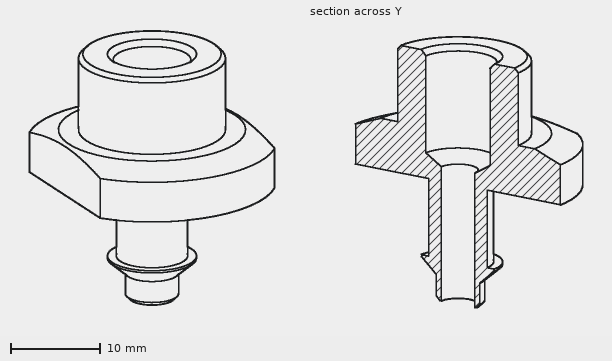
import cadquery as cq
import math

tip_top = 3.0
collar_top = 5.0
collar_rim = 0.25
flange_bottom = 14.0
flange_top = 20.0
total_height = 29.0

tip_diameter = 6.0
collar_diameter = 10.0
stem_diameter = 8.0
flange_diameter = 28.0
flange_face_diameter = 21.0
boss_diameter = 16.5

flange_width = 22.0
bevel_angle = 20.0
edge_chamfer = 0.5

socket_diameter = 8.7
socket_mouth_diameter = 10.0
socket_depth = 12.0
through_diameter = 4.5
drill_point_angle = 118.0


def revolve_profile(points):
    """Revolve a closed (radius, height) outline around the Z axis."""
    return cq.Workplane("XZ").polyline(points).close().revolve(360, (0, 0), (0, 1))


def make_body():
    """Spigot, collar, bevelled flange and boss as one turned body."""
    tip_radius = tip_diameter / 2
    collar_radius = collar_diameter / 2
    stem_radius = stem_diameter / 2
    flange_radius = flange_diameter / 2
    face_radius = flange_face_diameter / 2
    boss_radius = boss_diameter / 2
    bevel_height = (flange_radius - face_radius) * math.tan(math.radians(bevel_angle))
    return revolve_profile([
        (0, 0),
        (tip_radius - edge_chamfer, 0),
        (tip_radius, edge_chamfer),
        (tip_radius, tip_top),
        (collar_radius, collar_top - collar_rim),
        (collar_radius, collar_top),
        (stem_radius, collar_top),
        (stem_radius, flange_bottom),
        (flange_radius, flange_bottom),
        (flange_radius, flange_top - bevel_height),
        (face_radius, flange_top),
        (boss_radius, flange_top),
        (boss_radius, total_height - edge_chamfer),
        (boss_radius - edge_chamfer, total_height),
        (0, total_height),
    ])


def make_bore():
    """Through hole opening by a drill-point cone into a chamfered socket."""
    through_radius = through_diameter / 2
    socket_radius = socket_diameter / 2
    mouth_radius = socket_mouth_diameter / 2
    socket_floor = total_height - socket_depth
    cone_height = (socket_radius - through_radius) / math.tan(math.radians(drill_point_angle / 2))
    mouth_chamfer = mouth_radius - socket_radius
    return revolve_profile([
        (0, 0),
        (through_radius, 0),
        (through_radius, socket_floor - cone_height),
        (socket_radius, socket_floor),
        (socket_radius, total_height - mouth_chamfer),
        (mouth_radius, total_height),
        (0, total_height),
    ])


flats_envelope = cq.Workplane("XY").box(
    flange_diameter, flange_width, total_height, centered=(True, True, False)
)

result = make_body().intersect(flats_envelope).cut(make_bore())